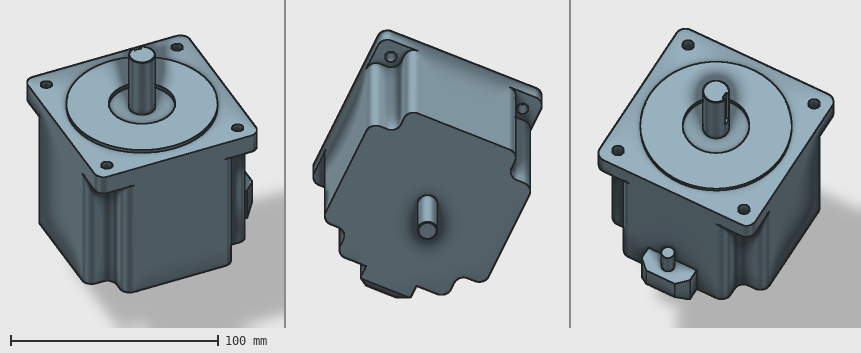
import cadquery as cq

total_height = 135.2
side = 86.0
total_depth = 98.0
body_top = 75.3
half_side = side / 2

flange_thickness = 10.0
corner_radius = 5.0
hole_spacing = 69.5
hole_diameter = 5.5

pilot_diameter = 73.0
pilot_height = 1.8
recess_diameter = 32.0
recess_depth = 2.0

notch_size = 13.8

upper_diameter = 12.7
lower_diameter = 9.5
lower_length = 28.3
upper_chamfer = 0.3
lower_chamfer = 0.4
key_width = 3.4
key_depth = 1.8
key_length = 22.2

connector_width = 26.6
connector_height = 16.6
connector_corner = 5.4
connector_bottom_chamfer = 4.9
cable_diameter = 6.4
cable_length = 11.8
cable_inset = 7.5

shaft_top = total_height - lower_length
connector_end = total_depth - half_side


def make_body():
    """Square body with a rounded square notch along each vertical corner."""
    body_height = body_top - flange_thickness
    notches = (
        cq.Workplane("XY")
        .rect(side, side, forConstruction=True)
        .vertices()
        .rect(2 * notch_size, 2 * notch_size)
        .extrude(body_height)
    )
    body = cq.Workplane("XY").rect(side, side).extrude(body_height)
    return body.cut(notches).edges("|Z").fillet(corner_radius)


def make_flange():
    """Rounded square flange with the pilot boss on top and four mounting holes."""
    flange = (
        cq.Workplane("XY", origin=(0, 0, body_top - flange_thickness))
        .rect(side, side)
        .extrude(flange_thickness)
        .edges("|Z")
        .fillet(corner_radius)
    )
    holes = (
        cq.Workplane("XY", origin=(0, 0, body_top - flange_thickness))
        .rect(hole_spacing, hole_spacing, forConstruction=True)
        .vertices()
        .circle(hole_diameter / 2)
        .extrude(flange_thickness)
    )
    pilot = (
        cq.Workplane("XY", origin=(0, 0, body_top))
        .circle(pilot_diameter / 2)
        .extrude(pilot_height)
    )
    return flange.cut(holes).union(pilot)


def make_recess():
    """Cutter for the round recess in the pilot boss."""
    return (
        cq.Workplane("XY", origin=(0, 0, body_top + pilot_height))
        .circle(recess_diameter / 2)
        .extrude(-recess_depth)
    )


def make_upper_shaft():
    """Output shaft with an open-ended keyway on its -X side."""
    recess_floor = body_top + pilot_height - recess_depth
    shaft = (
        cq.Workplane("XY", origin=(0, 0, recess_floor))
        .circle(upper_diameter / 2)
        .extrude(shaft_top - recess_floor)
        .faces(">Z")
        .chamfer(upper_chamfer)
    )
    keyway = cq.Workplane("XY").box(key_depth, key_width, key_length, centered=(False, True, False))
    return shaft.cut(keyway.translate((-upper_diameter / 2, 0, shaft_top - key_length)))


def make_lower_shaft():
    """Plain rear shaft with a chamfered end."""
    return (
        cq.Workplane("XY")
        .circle(lower_diameter / 2)
        .extrude(-lower_length)
        .faces("<Z")
        .chamfer(lower_chamfer)
    )


def make_connector():
    """Chamfered connector block carrying an upright cable stub."""
    block_depth = connector_end - half_side
    block = (
        cq.Workplane("XY")
        .box(connector_width, block_depth, connector_height, centered=(True, False, False))
        .translate((0, half_side, 0))
        .edges("|Z and >Y")
        .chamfer(connector_corner)
        .faces(">Y")
        .edges("<Z")
        .chamfer(connector_bottom_chamfer)
    )
    cable = (
        cq.Workplane("XY", origin=(0, connector_end - cable_inset, connector_height))
        .circle(cable_diameter / 2)
        .extrude(cable_length)
    )
    return block.union(cable)


result = (
    make_body()
    .union(make_flange())
    .cut(make_recess())
    .union(make_upper_shaft())
    .union(make_lower_shaft())
    .union(make_connector())
)